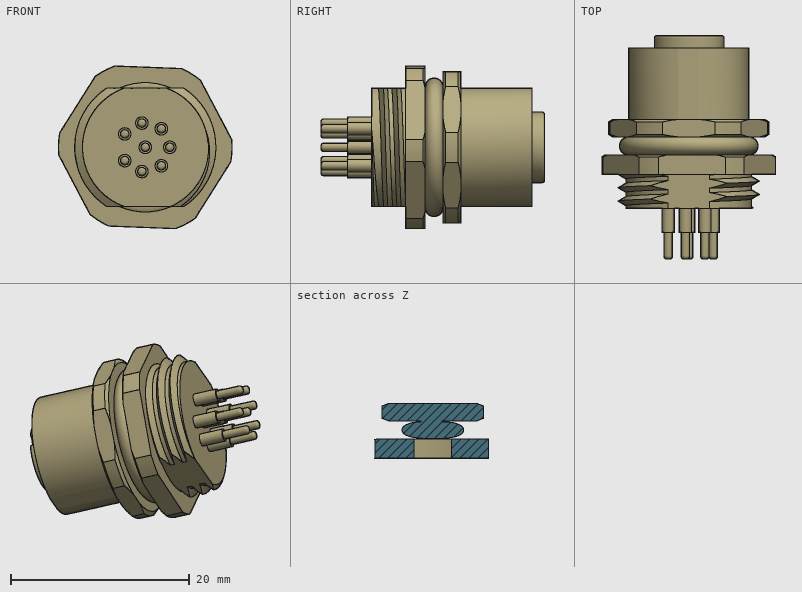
import cadquery as cq
import math


PIN_TIP_LENGTH = 3.0
PIN_COLLAR_LENGTH = 2.7
THREAD_LENGTH = 3.8
FRONT_NUT_THICKNESS = 2.2
RING_THICKNESS = 2.0
REAR_NUT_THICKNESS = 2.0
SLEEVE_LENGTH = 8.0
INSERT_LENGTH = 1.4

THREAD_END = -THREAD_LENGTH
COLLAR_END = THREAD_END - PIN_COLLAR_LENGTH
RING_START = FRONT_NUT_THICKNESS
REAR_NUT_START = RING_START + RING_THICKNESS
SLEEVE_START = REAR_NUT_START + REAR_NUT_THICKNESS
SLEEVE_END = SLEEVE_START + SLEEVE_LENGTH

FLATS_WIDTH = 13.3
SLAB_LENGTH_X = 18.0
SLEEVE_RADIUS = 6.75

PITCH = 1.5
CREST_RADIUS = 7.93
ROOT_RADIUS = 7.05
HALF_FLANK = math.radians(30)
RIDGE_EMBED = 0.15
FULL_HEIGHT_ANGLE = -80
RUN_IN_SPAN = 95
RUN_IN_STEPS = 6
RUN_IN_START_HEIGHT = 0.03
CREST_AT_ZERO = THREAD_END + 0.06
THREAD_TURNS = 2.9

HEX_HALF_CORNER = math.radians(30)
FRONT_NUT_FLATS = 18.0
FRONT_NUT_CORNERS = 19.51
FRONT_NUT_TURN = 2.2
FRONT_NUT_CHAMFER_RADIAL = 0.35
FRONT_NUT_CHAMFER_AXIAL = 0.23
FRONT_NUT_BORE_RADIUS = 7.26
REAR_NUT_FLATS = 17.0
REAR_NUT_CORNERS = 18.0
REAR_NUT_CHAMFER_RADIAL = 0.45
REAR_NUT_CHAMFER_AXIAL = 0.3

RING_OUTER_RADIUS = 7.78
RING_WIRE_RADIUS = RING_THICKNESS / 2

INSERT_RADIUS = 3.98
INSERT_EDGE_RADIUS = 0.3
KEYWAY_RADIUS = 0.67
KEYWAY_EDGE_RADIUS = 0.35

PIN_CIRCLE_RADIUS = 2.75
PIN_SPACING_ANGLE = 49
PINS_EACH_SIDE = 3
PIN_COLLAR_RADIUS = 0.7
PIN_RADIUS = 0.475
PIN_END_ROUND = 0.3


def disc(radius, start, length):
    """Cylinder on the Y axis running from start towards +Y."""
    return cq.Workplane("XZ", origin=(0, start, 0)).circle(radius).extrude(-length)


def flats_slab(start, length):
    """Slab that limits a round body to the two flats."""
    slab = cq.Workplane("XZ", origin=(0, start, 0)).rect(SLAB_LENGTH_X, FLATS_WIDTH)
    return slab.extrude(-length)


def crest_y(angle):
    """Y of the ridge crest; angles run from +X towards +Z, where the ridge falls back to -Y."""
    return CREST_AT_ZERO - PITCH * angle / 360


def ridge_section(angle, height):
    """Triangular cut through the thread ridge at an angle around the axis."""
    foot = ROOT_RADIUS - RIDGE_EMBED
    half_width = (height + RIDGE_EMBED) * math.tan(HALF_FLANK)
    centre_y = crest_y(angle)
    corners = (
        (foot, centre_y - half_width),
        (ROOT_RADIUS + height, centre_y),
        (foot, centre_y + half_width),
    )
    turn = math.radians(angle)
    points = [cq.Vector(r * math.cos(turn), y, r * math.sin(turn)) for r, y in corners]
    return cq.Wire.makePolygon(points, close=True)


def thread_run_in():
    """Start of the ridge, growing from the root surface to full height."""
    full_height = CREST_RADIUS - ROOT_RADIUS
    sections = []
    for step in range(RUN_IN_STEPS + 1):
        part = step / RUN_IN_STEPS
        angle = FULL_HEIGHT_ANGLE + RUN_IN_SPAN * (1 - part)
        height = RUN_IN_START_HEIGHT + (full_height - RUN_IN_START_HEIGHT) * part
        sections.append(ridge_section(angle, height))
    return cq.Workplane(cq.Solid.makeLoft(sections))


def thread_ridge():
    """Full-height helical ridge, right-handed about Y."""
    section = ridge_section(FULL_HEIGHT_ANGLE, CREST_RADIUS - ROOT_RADIUS)
    axis = cq.Vector(0, 1, 0)
    helix = cq.Wire.makeHelix(PITCH, PITCH * THREAD_TURNS, ROOT_RADIUS)
    helix = helix.rotate(cq.Vector(), cq.Vector(1, 0, 0), -90)
    helix = helix.rotate(cq.Vector(), axis, -FULL_HEIGHT_ANGLE)
    helix = helix.translate(axis * crest_y(FULL_HEIGHT_ANGLE))
    return cq.Workplane(cq.Solid.sweep(section, [], helix, True, True))


def threaded_stub():
    """Threaded end with flats; it reaches through the front nut."""
    length = THREAD_LENGTH + FRONT_NUT_THICKNESS
    stub = disc(ROOT_RADIUS, THREAD_END, length)
    stub = stub.union(thread_ridge()).union(thread_run_in())
    return stub.intersect(flats_slab(THREAD_END, length))


def sleeve():
    """Smooth barrel with flats, running under the ring and the rear nut."""
    length = SLEEVE_END - RING_START
    return disc(SLEEVE_RADIUS, RING_START, length).intersect(flats_slab(RING_START, length))


def hexagon(flats, start, thickness):
    """Hexagonal prism with one pair of flats facing +Z and -Z."""
    circumscribed = flats / math.cos(HEX_HALF_CORNER)
    return cq.Workplane("XZ", origin=(0, start, 0)).polygon(6, circumscribed).extrude(-thickness)


def front_nut():
    """Larger nut: round corners, chamfered towards +Y, clear bore beside the flats."""
    blank = disc(FRONT_NUT_CORNERS / 2, 0, FRONT_NUT_THICKNESS)
    blank = blank.faces(">Y").chamfer(FRONT_NUT_CHAMFER_AXIAL, FRONT_NUT_CHAMFER_RADIAL)
    hexagonal = hexagon(FRONT_NUT_FLATS, 0, FRONT_NUT_THICKNESS)
    hexagonal = hexagonal.rotate((0, 0, 0), (0, 1, 0), FRONT_NUT_TURN)
    gaps = disc(FRONT_NUT_BORE_RADIUS, 0, FRONT_NUT_THICKNESS)
    gaps = gaps.cut(flats_slab(0, FRONT_NUT_THICKNESS))
    return blank.intersect(hexagonal).cut(gaps)


def rear_nut():
    """Smaller nut, chamfered on both faces."""
    blank = disc(REAR_NUT_CORNERS / 2, REAR_NUT_START, REAR_NUT_THICKNESS)
    for face in (">Y", "<Y"):
        blank = blank.faces(face).chamfer(REAR_NUT_CHAMFER_AXIAL, REAR_NUT_CHAMFER_RADIAL)
    return blank.intersect(hexagon(REAR_NUT_FLATS, REAR_NUT_START, REAR_NUT_THICKNESS))


def sealing_ring():
    """Ring between the nuts: half-round outside, filled inwards to the sleeve."""
    seat_radius = RING_OUTER_RADIUS - RING_WIRE_RADIUS
    inner_radius = seat_radius - RING_WIRE_RADIUS
    middle_y = RING_START + RING_WIRE_RADIUS
    section = (
        cq.Workplane("XY")
        .moveTo(-inner_radius, RING_START)
        .lineTo(-seat_radius, RING_START)
        .threePointArc((-RING_OUTER_RADIUS, middle_y), (-seat_radius, REAR_NUT_START))
        .lineTo(-inner_radius, REAR_NUT_START)
        .close()
    )
    return section.revolve(360, (0, 0, 0), (0, 1, 0))


def contact_insert():
    """Round insert with a keyway on its -X side."""
    insert = disc(INSERT_RADIUS, SLEEVE_END, INSERT_LENGTH)
    keyway = disc(KEYWAY_RADIUS, SLEEVE_END, INSERT_LENGTH).translate((-INSERT_RADIUS, 0, 0))
    insert = insert.cut(keyway)
    mouth_half = 2 * KEYWAY_RADIUS
    mouth = cq.selectors.BoxSelector(
        (-INSERT_RADIUS - mouth_half, SLEEVE_END, -mouth_half),
        (-INSERT_RADIUS + mouth_half, SLEEVE_END + INSERT_LENGTH, mouth_half),
    )
    insert = insert.edges("|Y").edges(mouth).fillet(KEYWAY_EDGE_RADIUS)
    return insert.faces(">Y").edges().fillet(INSERT_EDGE_RADIUS)


def solder_pin(x, z):
    """Stepped pin with a rounded end."""
    collar = disc(PIN_COLLAR_RADIUS, COLLAR_END, PIN_COLLAR_LENGTH)
    tip = disc(PIN_RADIUS, COLLAR_END - PIN_TIP_LENGTH, PIN_TIP_LENGTH)
    tip = tip.faces("<Y").edges().fillet(PIN_END_ROUND)
    return collar.union(tip).translate((x, 0, z))


def pin_positions():
    """X and Z of every pin."""
    positions = [(0, 0)]
    for index in range(-PINS_EACH_SIDE, PINS_EACH_SIDE + 1):
        angle = math.radians(index * PIN_SPACING_ANGLE)
        positions.append((PIN_CIRCLE_RADIUS * math.cos(angle), PIN_CIRCLE_RADIUS * math.sin(angle)))
    return positions


connector = threaded_stub()
for part in (front_nut(), sleeve(), rear_nut(), sealing_ring(), contact_insert()):
    connector = connector.union(part)
for x, z in pin_positions():
    connector = connector.union(solder_pin(x, z))

result = cq.Workplane(connector.solids().val())